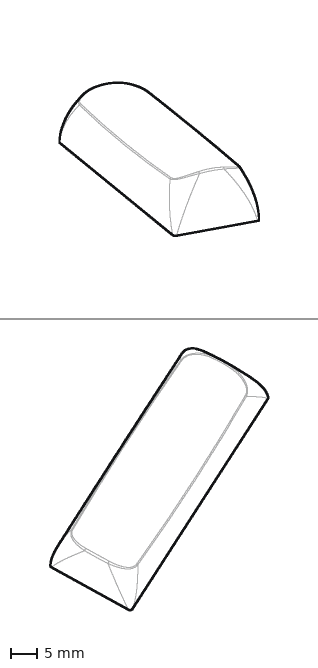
import cadquery as cq

length = 51.55
width = 18.25
height = 11.4

foot_swell = 0.1
foot_length = length - foot_swell
foot_width = width - foot_swell
crown_height = 11.5
waist_height = crown_height / 2
crown_taper = 4.8
waist_share = 1 / 6
waist_taper = crown_taper * waist_share

crown_end_bow = 1.7
waist_end_bow = crown_end_bow * waist_share
side_bow_ratio = 0.4

foot_corner_radius = 0.5
waist_corner_radius = 2.6
crown_corner_radius = 5.0

arch_drop = 3.1
rim_radius = 0.5
cutter_margin = 5.15


def foot_outline():
    """Rectangle of the full footprint with rounded corners."""
    return cq.Sketch().rect(foot_length, foot_width).vertices().fillet(foot_corner_radius)


def bowed_outline(taper, end_bow, corner_radius):
    """Four shallow outward arcs joined by rounded corners."""
    side_x = (foot_length - taper) / 2
    side_y = (foot_width - taper) / 2
    corner_x = side_x - end_bow
    corner_y = side_y - end_bow * side_bow_ratio
    return (
        cq.Sketch()
        .arc((-corner_x, -corner_y), (-side_x, 0), (-corner_x, corner_y))
        .arc((-corner_x, corner_y), (0, side_y), (corner_x, corner_y))
        .arc((corner_x, corner_y), (side_x, 0), (corner_x, -corner_y))
        .arc((corner_x, -corner_y), (0, -side_y), (-corner_x, -corner_y))
        .assemble()
        .vertices()
        .fillet(corner_radius)
    )


def at_height(sketch, z):
    """The sketch lifted to height z."""
    return sketch.moved(cq.Location(cq.Vector(0, 0, z)))


def blank():
    """Smooth loft through the foot, the waist and the crown."""
    waist = bowed_outline(waist_taper, waist_end_bow, waist_corner_radius)
    crown = bowed_outline(crown_taper, crown_end_bow, crown_corner_radius)
    return (
        cq.Workplane("XY")
        .placeSketch(
            foot_outline(),
            at_height(waist, waist_height),
            at_height(crown, crown_height),
        )
        .loft()
    )


def arch_cutter():
    """Everything above the arched top face."""
    half_width = width / 2
    return (
        cq.Workplane("YZ")
        .moveTo(-half_width, height - arch_drop)
        .threePointArc((0, height), (half_width, height - arch_drop))
        .lineTo(half_width, height + cutter_margin)
        .lineTo(-half_width, height + cutter_margin)
        .close()
        .extrude(length / 2, both=True)
    )


body = blank().cut(arch_cutter())
result = body.faces(">Z").edges().fillet(rim_radius)